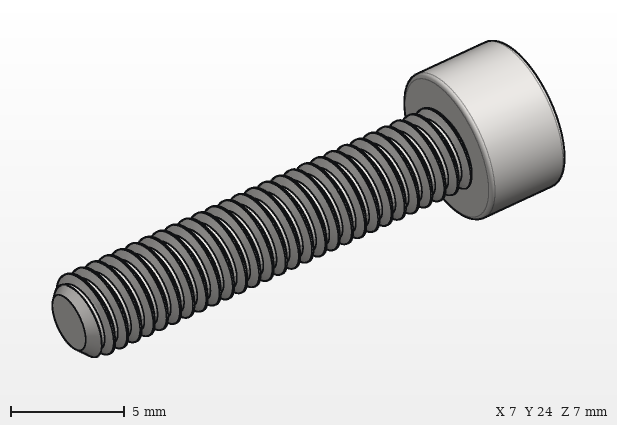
import cadquery as cq
import math


head_diameter = 7.0
head_height = 4.0
head_edge_radius = 0.2

thread_diameter = 4.0
shank_length = 20.0
tip_diameter = 2.65
tip_chamfer = (thread_diameter - tip_diameter) / 2

pitch = 0.7
flank_angle = math.radians(30)
sharp_height = pitch / (2 * math.tan(flank_angle))
thread_depth = 5 / 8 * sharp_height
crest_radius = thread_diameter / 2
root_radius = crest_radius - thread_depth
crest_width = pitch / 8
crest_offset = 0.035

ridge_embed = 0.05
end_allowance = 2 * pitch
envelope_clearance = 0.5


def make_head():
    """Plain cylindrical head with both rims rounded."""
    return (
        cq.Workplane("XY")
        .circle(head_diameter / 2)
        .extrude(-head_height)
        .edges("%CIRCLE")
        .fillet(head_edge_radius)
    )


def make_thread_ridge():
    """Helical ridge of trapezoidal section, running past both ends of the shank."""
    start = crest_offset - end_allowance
    turns = math.ceil((shank_length + 2 * end_allowance) / pitch)
    base_radius = root_radius - ridge_embed
    crest_half = crest_width / 2
    base_half = crest_half + (crest_radius - base_radius) * math.tan(flank_angle)
    section = [
        (base_radius, start - base_half),
        (crest_radius, start - crest_half),
        (crest_radius, start + crest_half),
        (base_radius, start + base_half),
    ]
    rails = [
        cq.Wire.makeHelix(pitch, turns * pitch, radius, center=cq.Vector(0, 0, height))
        for radius, height in section
    ]
    sides = [
        cq.Face.makeRuledSurface(rail, next_rail)
        for rail, next_rail in zip(rails, rails[1:] + rails[:1])
    ]
    first_corners = [rail.startPoint() for rail in rails]
    last_corners = [rail.endPoint() for rail in rails]
    caps = [
        cq.Face.makeFromWires(cq.Wire.makePolygon(corners, close=True))
        for corners in (first_corners, last_corners)
    ]
    return cq.Workplane(cq.Solid.makeSolid(cq.Shell.makeShell(sides + caps)))


def make_shank_envelope():
    """Trimming cylinder, clear of the crests, with a flat head end and a 45 degree cone at the tip."""
    return (
        cq.Workplane("XY")
        .circle(crest_radius + envelope_clearance)
        .extrude(shank_length)
        .faces(">Z")
        .chamfer(tip_chamfer + envelope_clearance)
    )


def make_shank():
    """Core and thread ridge joined, then trimmed to the shank length and tip chamfer."""
    core = (
        cq.Workplane("XY")
        .workplane(offset=-end_allowance)
        .circle(root_radius)
        .extrude(shank_length + 2 * end_allowance)
    )
    threaded_rod = core.union(make_thread_ridge(), clean=False)
    return threaded_rod.intersect(make_shank_envelope(), clean=False)


screw = make_head().union(make_shank(), clean=False)
result = screw.rotate((0, 0, 0), (1, 0, 0), 90)